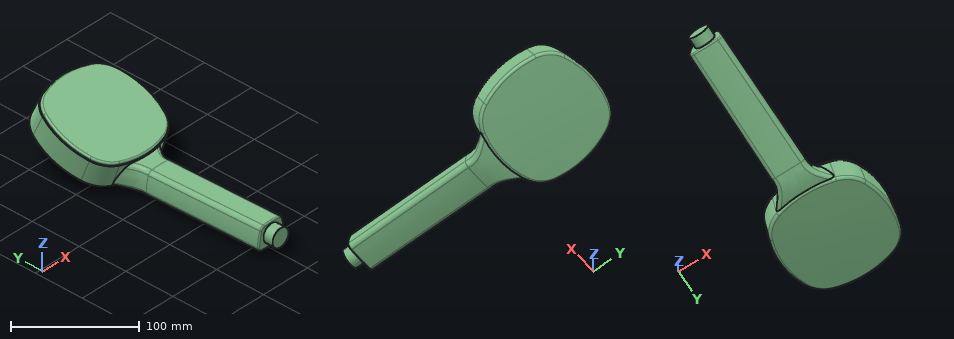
import cadquery as cq
import math

TILT = 20.2
FACE_Y, FACE_Z = 187.5, 29.7
FACE_HALF_WIDTH = 47.5
PLATE_THICKNESS = 3.2
PLATE_ROUNDING = 1.7
RIM_HALF_WIDTH = 48.2
BACK_HALF_WIDTH = 49.7
HEAD_DEPTH = 28.2
BACK_SHIFT = 0.7
BACK_ROUNDING = 2.5
BACK_BULGE = 1.2
TRIM_ALLOWANCE = 2.5
CORNER_TO_WIDTH = 0.58
SIDE_TO_WIDTH = 1.66

CONNECTOR_RADIUS = 9.13
CONNECTOR_LENGTH = 9.7
HANDLE_END_ROUNDING = 1.2
SIDE_BULGE = 1.0
TOP_CORNER_RADIUS = 4.9
BOTTOM_CORNER_RADIUS = 4.5

HANDLE_END = (CONNECTOR_LENGTH, 15.0, 11.7, 12.0, -12.2)
NECK_START = (129.0, 15.8, 12.2, 8.5, -14.8)
NECK_FLARE = [
    (140.0, 17.0, 14.0, 9.2, -14.8),
    (148.5, 22.0, 20.5, 11.2, -13.5),
    (161.9, 31.6, 31.6, 13.5, -8.8),
]

face_plane = cq.Plane((0, FACE_Y, FACE_Z), (1, 0, 0),
                      (0, -math.sin(math.radians(TILT)), math.cos(math.radians(TILT))))


def rounded_square(depth, half_width, shift=0.0):
    """Closed outline of four bowed sides joined tangentially by corner arcs, below the face."""
    side_radius = SIDE_TO_WIDTH * half_width
    corner_radius = CORNER_TO_WIDTH * half_width
    gap = side_radius - corner_radius
    side_angle = math.acos((side_radius - half_width) / gap / math.sqrt(2)) - math.pi / 4
    corner_offset = gap * math.sin(side_angle)
    corner_reach = corner_offset + corner_radius / math.sqrt(2)
    joint_far = half_width - side_radius * (1 - math.cos(side_angle))
    joint_near = side_radius * math.sin(side_angle)
    outline = cq.Workplane(face_plane).workplane(offset=-depth).center(0, shift)
    outline = outline.moveTo(joint_far, -joint_near)
    for quarter in range(4):
        cos, sin = round(math.cos(quarter * math.pi / 2)), round(math.sin(quarter * math.pi / 2))

        def turned(x, y):
            return x * cos - y * sin, x * sin + y * cos

        outline = outline.threePointArc(turned(half_width, 0), turned(joint_far, joint_near))
        outline = outline.threePointArc(turned(corner_reach, corner_reach), turned(joint_near, joint_far))
    return outline.close()


def make_plate():
    plate = rounded_square(PLATE_THICKNESS, FACE_HALF_WIDTH).extrude(PLATE_THICKNESS)
    spray_face = plate.faces(cq.selectors.DirectionMinMaxSelector(face_plane.zDir))
    return spray_face.edges().fillet(PLATE_ROUNDING)


def make_head():
    rim = rounded_square(PLATE_THICKNESS, RIM_HALF_WIDTH).wire().val()
    full_depth = HEAD_DEPTH + BACK_BULGE
    back = rounded_square(full_depth + TRIM_ALLOWANCE, BACK_HALF_WIDTH, BACK_SHIFT).wire().val()
    head = cq.Workplane(cq.Solid.makeLoft([rim, back], True))
    dome_radius = (BACK_HALF_WIDTH ** 2 + BACK_BULGE ** 2) / (2 * BACK_BULGE)
    dome_centre = face_plane.toWorldCoords((0, BACK_SHIFT, dome_radius - full_depth))
    dome = cq.Workplane("XY").sphere(dome_radius).translate(dome_centre)
    head = head.intersect(dome)
    back_face = head.faces(cq.selectors.DirectionMinMaxSelector(face_plane.zDir, False))
    return back_face.edges().fillet(BACK_ROUNDING)


def handle_section(y, bottom_half, top_half, top, bottom):
    """Rounded trapezoid with bowed sides, across the handle at the given Y."""
    middle_half = (bottom_half + top_half) / 2 + SIDE_BULGE
    middle_z = (top + bottom) / 2
    wire = (
        cq.Workplane("XZ", origin=(0, y, 0))
        .moveTo(-bottom_half, bottom + SIDE_BULGE)
        .threePointArc((0, bottom), (bottom_half, bottom + SIDE_BULGE))
        .threePointArc((middle_half, middle_z), (top_half, top - SIDE_BULGE))
        .threePointArc((0, top), (-top_half, top - SIDE_BULGE))
        .threePointArc((-middle_half, middle_z), (-bottom_half, bottom + SIDE_BULGE))
        .close().wire().val()
    )
    bottom_corners = [v for v in wire.Vertices() if v.Z < middle_z]
    top_corners = [v for v in wire.Vertices() if v.Z > middle_z]
    face = cq.Face.makeFromWires(wire).fillet2D(BOTTOM_CORNER_RADIUS, bottom_corners)
    return face.fillet2D(TOP_CORNER_RADIUS, top_corners).outerWire()


def make_handle():
    grip = cq.Solid.makeLoft([handle_section(*HANDLE_END), handle_section(*NECK_START)], True)
    grip = cq.Workplane(grip).faces("<Y").edges().fillet(HANDLE_END_ROUNDING)
    neck_stations = [NECK_START] + NECK_FLARE
    neck = cq.Solid.makeLoft([handle_section(*station) for station in neck_stations])
    return grip.union(cq.Workplane(neck))


def make_connector():
    return cq.Workplane("XZ").circle(CONNECTOR_RADIUS).extrude(-CONNECTOR_LENGTH)


plate = make_plate()
housing = make_head().union(make_handle())
connector = make_connector()

result = cq.Compound.makeCompound([housing.val(), plate.val(), connector.val()])